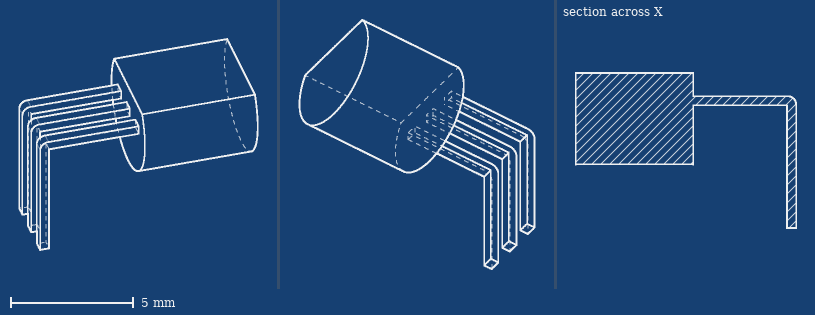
import cadquery as cq
import math

body_diameter = 4.824
body_height = 3.75
body_length = 4.80

lead_count = 3
lead_pitch = 1.27
lead_width = 0.48
lead_thickness = 0.38
bend_radius = 0.35
lead_reach = 4.19
lead_top_below_flat = 0.95
overall_height = 6.33

body_radius = body_diameter / 2
flat_z = body_height - body_radius
flat_half_width = math.sqrt(body_radius**2 - flat_z**2)
lead_top_z = flat_z - lead_top_below_flat
lead_tip_z = flat_z - overall_height


def make_body():
    """Barrel section with its top cut flat, extruded toward +Y."""
    return (
        cq.Workplane("XZ")
        .moveTo(-flat_half_width, flat_z)
        .lineTo(flat_half_width, flat_z)
        .threePointArc((0, -body_radius), (-flat_half_width, flat_z))
        .close()
        .extrude(-body_length)
    )


def make_lead(center_x):
    """L-shaped lead with a rounded outer corner and a sharp inner corner."""
    inner_y = lead_thickness - lead_reach
    inner_z = lead_top_z - lead_thickness
    bend_center_y = bend_radius - lead_reach
    bend_center_z = lead_top_z - bend_radius
    arc_offset = bend_radius * math.sqrt(0.5)
    return (
        cq.Workplane("YZ", origin=(center_x, 0, 0))
        .moveTo(0, lead_top_z)
        .lineTo(bend_center_y, lead_top_z)
        .threePointArc(
            (bend_center_y - arc_offset, bend_center_z + arc_offset),
            (-lead_reach, bend_center_z),
        )
        .lineTo(-lead_reach, lead_tip_z)
        .lineTo(inner_y, lead_tip_z)
        .lineTo(inner_y, inner_z)
        .lineTo(0, inner_z)
        .close()
        .extrude(lead_width / 2, both=True)
    )


result = make_body()
for index in range(lead_count):
    lead_x = (index - (lead_count - 1) / 2) * lead_pitch
    result = result.union(make_lead(lead_x))